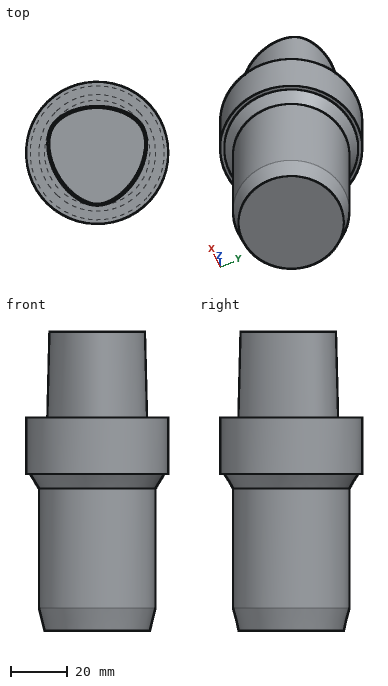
import math
import cadquery as cq

total_height = 105.0
body_diameter = 41.0
flange_diameter = 50.0
tip_diameter = 37.0
tip_height = 8.0
cone_height = 5.0
cone_top_diameter = 47.0
flange_height = 20.0

polygon_height = 30.0
polygon_base_width = 35.1
polygon_top_width = 33.6
lobe_offset = 1.0
outline_points = 48

polygon_bottom = total_height - polygon_height
flange_bottom = polygon_bottom - flange_height
cone_bottom = flange_bottom - cone_height


def round_body():
    """Revolve the tip, body, cone and flange about the Z axis."""
    return (
        cq.Workplane("XZ")
        .lineTo(tip_diameter / 2, 0)
        .lineTo(body_diameter / 2, tip_height)
        .lineTo(body_diameter / 2, cone_bottom)
        .lineTo(cone_top_diameter / 2, flange_bottom)
        .lineTo(flange_diameter / 2, flange_bottom)
        .lineTo(flange_diameter / 2, polygon_bottom)
        .lineTo(0, polygon_bottom)
        .close()
        .revolve(360, (0, 0, 0), (0, 1, 0))
    )


def lobed_point(width, fraction):
    """Point on a three-lobed outline that has the same width in every direction."""
    angle = 2 * math.pi * fraction
    reach = width / 2 + lobe_offset * math.sin(3 * angle)
    slope = 3 * lobe_offset * math.cos(3 * angle)
    return (
        reach * math.cos(angle) - slope * math.sin(angle),
        reach * math.sin(angle) + slope * math.cos(angle),
    )


def lobed_outline(plane, width):
    """Draw the closed three-lobed outline on a workplane."""
    points = [lobed_point(width, i / outline_points) for i in range(outline_points)]
    return plane.spline(points, periodic=True).close()


def tapered_polygon():
    """Loft between the base and top outlines."""
    base = lobed_outline(cq.Workplane("XY").workplane(offset=polygon_bottom), polygon_base_width)
    top_plane = base.workplane(offset=polygon_height)
    return lobed_outline(top_plane, polygon_top_width).loft(ruled=True)


result = round_body().union(tapered_polygon())